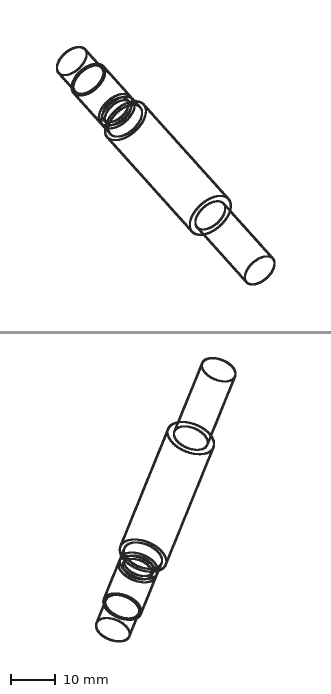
import cadquery as cq

total_length = 77.5

front_journal_length = 6.9
seat_length = 11.15
groove_width = 1.0
collar_length = 3.0
body_length = 35.0
rear_journal_length = (
    total_length - front_journal_length - seat_length - groove_width - collar_length - body_length
)

journal_diameter = 8.0
seat_diameter = 9.0
groove_diameter = 7.0
body_diameter = 11.0

sections = [
    (front_journal_length, journal_diameter),
    (seat_length, seat_diameter),
    (groove_width, groove_diameter),
    (collar_length, seat_diameter),
    (body_length, body_diameter),
    (rear_journal_length, journal_diameter),
]


def stepped_shaft(sections, start_x):
    """Revolve the stepped half profile about the X axis."""
    profile = cq.Workplane("XY").moveTo(start_x, 0)
    x = start_x
    for length, diameter in sections:
        profile = profile.lineTo(x, diameter / 2)
        x += length
        profile = profile.lineTo(x, diameter / 2)
    profile = profile.lineTo(x, 0).close()
    return profile.revolve(360, (0, 0, 0), (1, 0, 0))


result = stepped_shaft(sections, -total_length / 2)